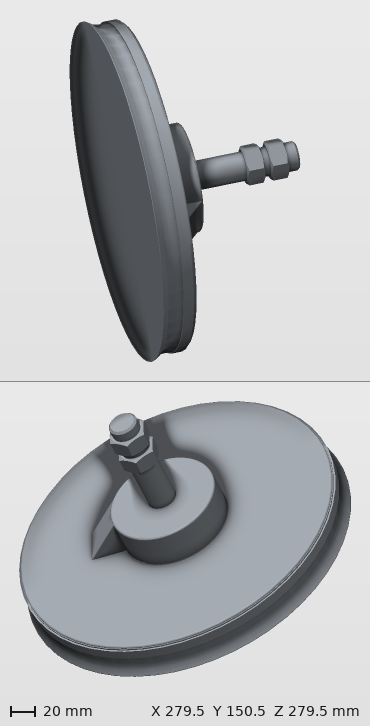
import cadquery as cq
import math


BODY_RADIUS = 270 / 2
LIP_RADIUS = 279.48 / 2
PAD_THICKNESS = 29.3
BAND_RADIUS = 272.8 / 2
BAND_START = 17.8
BAND_END = 26.2
GROOVE_START = 11.5
LIP_EDGE_HEIGHT = 0.5
LIP_CONE_END = 2.5
FLARE_RADIUS = 14.0
BACK_RADIUS = 268.8 / 2
BACK_START = 27.5
BACK_ROUND = 1.75

BOSS_RADIUS = 90 / 2
BOSS_HEIGHT = 31.2
BOSS_TOP_ROUND = 2.0
BOSS_FOOT_ROUND = 1.5
BOSS_TOP = PAD_THICKNESS + BOSS_HEIGHT

RIB_WIDTH = 30.0
RIB_EDGE_ROUND = 1.0
RIB_FOOT = 72.8

STUD_RADIUS = 24 / 2
STUD_LENGTH = 90.0
STUD_CHAMFER = 1.8
STUD_END = BOSS_TOP + STUD_LENGTH

NUT_ACROSS_FLATS = 29.0
NUT_THICKNESS = 15.0
NUT_GAP = 5.0
NUT_END_SETBACK = 10.0
NUT_FACE_INSET = 0.7
NUT_CHAMFER_ANGLE = math.radians(30)
NUT_CORNER_RADIUS = NUT_ACROSS_FLATS / 2 / math.cos(math.pi / 6)
NUT_FACE_RADIUS = NUT_ACROSS_FLATS / 2 - NUT_FACE_INSET


def cylinder(radius, start, length):
    """Cylinder on the Y axis from `start` toward +Y."""
    return cq.Workplane("XZ", origin=(0, start, 0)).circle(radius).extrude(-length)


def revolve_about_y(profile):
    """Close a half section drawn in the XY plane and spin it into a solid."""
    return profile.close().revolve(360, (0, 0, 0), (0, 1, 0))


def make_pad():
    flare_angle = math.asin((GROOVE_START - LIP_CONE_END) / FLARE_RADIUS)
    half_angle = flare_angle / 2
    flare_end_radius = BODY_RADIUS + FLARE_RADIUS * (1 - math.cos(flare_angle))
    flare_mid = (
        BODY_RADIUS + FLARE_RADIUS * (1 - math.cos(half_angle)),
        GROOVE_START - FLARE_RADIUS * math.sin(half_angle),
    )
    profile = (
        cq.Workplane("XY")
        .lineTo(LIP_RADIUS, 0)
        .lineTo(LIP_RADIUS, LIP_EDGE_HEIGHT)
        .lineTo(flare_end_radius, LIP_CONE_END)
        .threePointArc(flare_mid, (BODY_RADIUS, GROOVE_START))
        .lineTo(BODY_RADIUS, BAND_START)
        .lineTo(BAND_RADIUS, BAND_START)
        .lineTo(BAND_RADIUS, BAND_END)
        .lineTo(BODY_RADIUS, BAND_END)
        .lineTo(BODY_RADIUS, BACK_START)
        .lineTo(BACK_RADIUS, BACK_START)
        .lineTo(BACK_RADIUS, PAD_THICKNESS)
        .lineTo(0, PAD_THICKNESS)
    )
    return revolve_about_y(profile).faces(">Y").edges().fillet(BACK_ROUND)


def make_boss():
    """Round boss with a rounded top edge and a concave fillet at its foot."""
    arc_inset = 1 - math.sqrt(0.5)
    profile = (
        cq.Workplane("XY", origin=(0, PAD_THICKNESS, 0))
        .lineTo(BOSS_RADIUS + BOSS_FOOT_ROUND, 0)
        .threePointArc(
            (BOSS_RADIUS + BOSS_FOOT_ROUND * arc_inset, BOSS_FOOT_ROUND * arc_inset),
            (BOSS_RADIUS, BOSS_FOOT_ROUND),
        )
        .lineTo(BOSS_RADIUS, BOSS_HEIGHT)
        .lineTo(0, BOSS_HEIGHT)
    )
    return revolve_about_y(profile).faces(">Y").edges().fillet(BOSS_TOP_ROUND)


def make_rib():
    rib_start = math.sqrt(BOSS_RADIUS**2 - (RIB_WIDTH / 2) ** 2)
    rib_height = RIB_FOOT - rib_start
    return (
        cq.Workplane("XY")
        .moveTo(0, PAD_THICKNESS)
        .lineTo(RIB_FOOT, PAD_THICKNESS)
        .lineTo(rib_start, PAD_THICKNESS + rib_height)
        .lineTo(0, PAD_THICKNESS + rib_height)
        .close()
        .extrude(RIB_WIDTH / 2, both=True)
        .edges("(not #X) and (not #Y) and (not |Z)")
        .fillet(RIB_EDGE_ROUND)
    )


def make_stud():
    return cylinder(STUD_RADIUS, BOSS_TOP, STUD_LENGTH).faces(">Y").chamfer(STUD_CHAMFER)


def make_nut(start):
    """Hexagon nut with flats facing +X and -X and its corners chamfered at both ends."""
    hexagon = (
        cq.Workplane("XZ", origin=(0, start, 0))
        .transformed(rotate=(0, 0, 90))
        .polygon(6, 2 * NUT_CORNER_RADIUS)
        .extrude(-NUT_THICKNESS)
    )
    chamfer_depth = NUT_CORNER_RADIUS - NUT_FACE_RADIUS
    chamfer_length = chamfer_depth * math.tan(NUT_CHAMFER_ANGLE)
    envelope = (
        cylinder(NUT_CORNER_RADIUS, start, NUT_THICKNESS)
        .faces("<Y or >Y")
        .edges()
        .chamfer(chamfer_length, chamfer_depth)
    )
    return hexagon.intersect(envelope)


outer_nut_start = STUD_END - NUT_END_SETBACK - NUT_THICKNESS
inner_nut_start = outer_nut_start - NUT_GAP - NUT_THICKNESS

result = make_pad().union(make_boss()).union(make_rib()).union(make_stud())
for nut_start in (inner_nut_start, outer_nut_start):
    result = result.union(make_nut(nut_start))